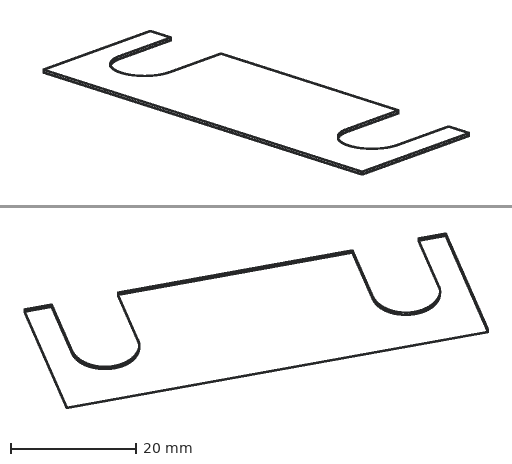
import cadquery as cq

length = 70.0
width = 25.0
thickness = 0.5

slot_width = 11.0
slot_depth = 17.5
slot_spacing = 50.0

slot_radius = slot_width / 2
back_edge = width / 2
slot_arc_center_y = back_edge - slot_depth + slot_radius


def open_slot(center_x):
    """Cutter for one slot, running from its round end to the back edge."""
    return (
        cq.Workplane("XY")
        .moveTo(center_x - slot_radius, back_edge)
        .lineTo(center_x - slot_radius, slot_arc_center_y)
        .threePointArc(
            (center_x, back_edge - slot_depth),
            (center_x + slot_radius, slot_arc_center_y),
        )
        .lineTo(center_x + slot_radius, back_edge)
        .close()
        .extrude(thickness)
    )


result = cq.Workplane("XY").box(length, width, thickness, centered=(True, True, False))
for side in (-1, 1):
    result = result.cut(open_slot(side * slot_spacing / 2))